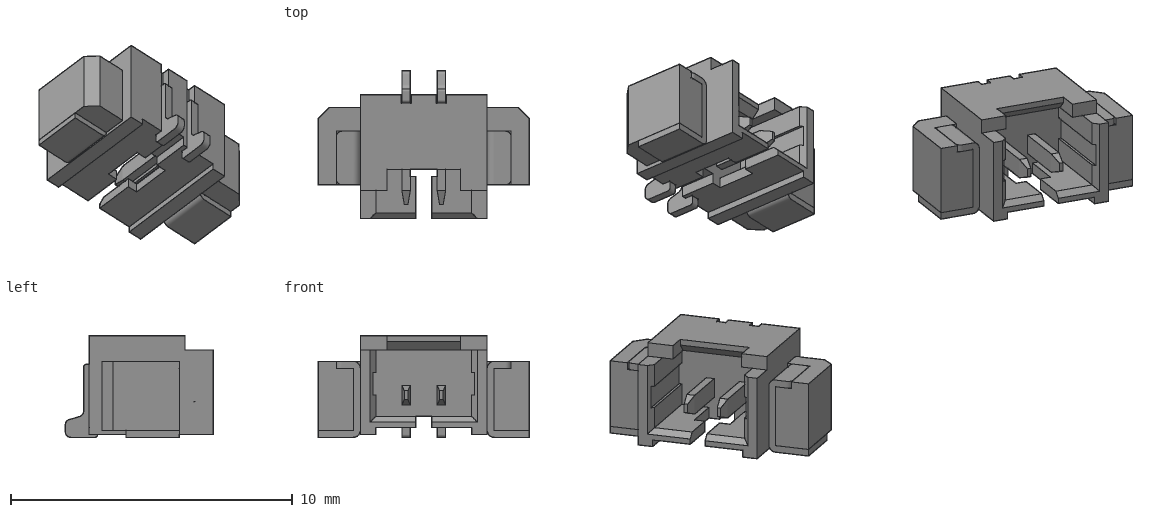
import cadquery as cq
import math


HOUSING_WIDTH = 4.5
HOUSING_DEPTH = 4.4
HOUSING_TOP = 3.61
FOOT_BOTTOM = 0.1
FLOOR_BOTTOM = 0.35
FLOOR_TOP = 0.75
ROOF_BOTTOM = 3.11
ROOF_FRONT = 1.0

CAVITY_WIDTH = 3.4
CAVITY_DEPTH = 3.0
MOUTH_CHAMFER = 0.2
GROOVE_DEPTH = 0.1
GROOVE_BOTTOM = 1.51
GROOVE_TOP = 2.30

ROOF_SLOT_WIDTH = 2.6
ROOF_SLOT_BACK = 1.75
ROOF_SLOT_CHAMFER = 0.29
FLOOR_SLOT_WIDTH = 0.56
FLOOR_WINDOW_WIDTH = 1.35
FLOOR_WINDOW_FRONT = 1.5
TAIL_NOTCH_WIDTH = 0.35
TAIL_NOTCH_DEPTH = 0.3

WING_SPAN = 7.5
WING_FRONT = 1.2
WING_BACK = 3.95
WING_TOP = 2.7
WING_CHAMFER = 0.4
CLIP_THICKNESS = 0.25
CLIP_BACK = 3.1
CLIP_TAB_REACH = 0.85
CLIP_TAB_CORNER = 0.2

PIN_PITCH = 1.25
PIN_WIDTH = 0.3
PIN_BOTTOM = 1.15
PIN_TOP = 1.85
PIN_TIP_Y = 0.5
PIN_TAPER_LENGTH = 0.5
PIN_TIP_WIDTH = 0.13
PIN_TIP_HEIGHT = 0.32
STEM_THICKNESS = 0.5
STEM_TOP = 2.6
STEM_CORNER = 0.1
TAIL_END = 5.25
TAIL_CORNER = 0.2
TAIL_END_HEIGHT = 0.6
TAIL_SLOPE_DEGREES = 16

HALF_WIDTH = HOUSING_WIDTH / 2
PIN_CENTRES = [-PIN_PITCH / 2, PIN_PITCH / 2]
STEM_FRONT = HOUSING_DEPTH - TAIL_NOTCH_DEPTH
STEM_BACK = STEM_FRONT + STEM_THICKNESS


def block(x0, x1, y0, y1, z0, z1):
    """Axis-aligned box between two opposite corners."""
    return cq.Workplane("XY").box(x1 - x0, y1 - y0, z1 - z0, centered=False).translate((x0, y0, z0))


def centred_block(width, y0, y1, z0, z1, x=0):
    """Box of a given width centred on x."""
    return block(x - width / 2, x + width / 2, y0, y1, z0, z1)


def side_profile(x0, x1, points):
    """Prism from x0 to x1 whose outline is given as (y, z) points."""
    return cq.Workplane("YZ").workplane(offset=x0).polyline(points).close().extrude(x1 - x0)


def mouth_flare():
    """Widening of the cavity's side walls and floor towards the mating face."""
    cavity_height = ROOF_BOTTOM - FLOOR_TOP
    return (
        cq.Workplane("XZ", origin=(0, 0, ROOF_BOTTOM))
        .rect(CAVITY_WIDTH + 2 * MOUTH_CHAMFER, 2 * (cavity_height + MOUTH_CHAMFER))
        .workplane(offset=-MOUTH_CHAMFER)
        .rect(CAVITY_WIDTH, 2 * cavity_height)
        .loft(ruled=True)
    )


def make_shell():
    """Housing body without wings or contacts."""
    shell = side_profile(
        -HALF_WIDTH,
        HALF_WIDTH,
        [
            (0, FOOT_BOTTOM),
            (HOUSING_DEPTH, FOOT_BOTTOM),
            (HOUSING_DEPTH, HOUSING_TOP),
            (ROOF_FRONT, HOUSING_TOP),
            (ROOF_FRONT, ROOF_BOTTOM),
            (0, ROOF_BOTTOM),
        ],
    )
    shell = shell.cut(centred_block(CAVITY_WIDTH, 0, HOUSING_DEPTH, 0, FLOOR_BOTTOM))
    shell = shell.cut(centred_block(CAVITY_WIDTH, 0, CAVITY_DEPTH, FLOOR_TOP, ROOF_BOTTOM))
    shell = shell.cut(mouth_flare())
    groove_width = CAVITY_WIDTH + 2 * GROOVE_DEPTH
    shell = shell.cut(centred_block(groove_width, 0, CAVITY_DEPTH, GROOVE_BOTTOM, GROOVE_TOP))
    roof_slot = side_profile(
        -ROOF_SLOT_WIDTH / 2,
        ROOF_SLOT_WIDTH / 2,
        [
            (0, ROOF_BOTTOM),
            (ROOF_SLOT_BACK + ROOF_SLOT_CHAMFER, ROOF_BOTTOM),
            (ROOF_SLOT_BACK, ROOF_BOTTOM + ROOF_SLOT_CHAMFER),
            (ROOF_SLOT_BACK, HOUSING_TOP),
            (0, HOUSING_TOP),
        ],
    )
    shell = shell.cut(roof_slot)
    shell = shell.cut(centred_block(FLOOR_SLOT_WIDTH, 0, HOUSING_DEPTH, 0, FLOOR_TOP))
    shell = shell.cut(centred_block(FLOOR_WINDOW_WIDTH, FLOOR_WINDOW_FRONT, CAVITY_DEPTH, 0, FLOOR_TOP))
    for x in PIN_CENTRES:
        shell = shell.cut(centred_block(TAIL_NOTCH_WIDTH, STEM_FRONT, HOUSING_DEPTH, 0, HOUSING_TOP, x))
    return shell


def make_wing():
    """Block on the +X side of the housing, with its outer back corner bevelled."""
    return (
        block(HALF_WIDTH, WING_SPAN / 2, WING_FRONT, WING_BACK, CLIP_THICKNESS, WING_TOP)
        .edges("|Z and >X and >Y")
        .chamfer(WING_CHAMFER)
    )


def clip_sections():
    """Leg and sharp-cornered top tab of the +X clip: the space it takes in the wing."""
    leg = block(HALF_WIDTH, HALF_WIDTH + CLIP_THICKNESS, WING_FRONT, CLIP_BACK, 0, WING_TOP)
    tab = block(
        HALF_WIDTH,
        HALF_WIDTH + CLIP_TAB_REACH,
        WING_FRONT,
        CLIP_BACK,
        WING_TOP - CLIP_THICKNESS,
        WING_TOP,
    )
    return leg, tab


def make_clip():
    """C-shaped solder clip on the +X side: top tab, leg along the housing and base plate."""
    leg, tab = clip_sections()
    tab = tab.edges("|Z and >X").fillet(CLIP_TAB_CORNER)
    base = block(HALF_WIDTH, WING_SPAN / 2, WING_FRONT, CLIP_BACK, 0, CLIP_THICKNESS)
    return leg.union(tab).union(base).edges("|Y and <X").fillet(CLIP_THICKNESS)


def make_pin(x):
    """Contact: tapered blade through the back wall, upright stem and solder tail."""
    tail_rise = (TAIL_END - STEM_BACK) * math.tan(math.radians(TAIL_SLOPE_DEGREES))
    tail_root_height = TAIL_END_HEIGHT + tail_rise
    stem = side_profile(
        -PIN_WIDTH / 2,
        PIN_WIDTH / 2,
        [
            (STEM_FRONT, 0),
            (TAIL_END, 0),
            (TAIL_END, TAIL_END_HEIGHT),
            (STEM_BACK, tail_root_height),
            (STEM_BACK, STEM_TOP),
            (STEM_FRONT, STEM_TOP),
        ],
    )
    stem = stem.edges("|X and (<Y or >Z)").fillet(STEM_CORNER)
    tail_edges = cq.selectors.BoxSelector(
        (-PIN_WIDTH, STEM_BACK - STEM_CORNER / 2, -STEM_CORNER),
        (PIN_WIDTH, TAIL_END + STEM_CORNER, tail_root_height + STEM_CORNER),
    )
    stem = stem.edges("|X").edges(tail_edges).fillet(TAIL_CORNER)
    taper_start = PIN_TIP_Y + PIN_TAPER_LENGTH
    blade = centred_block(PIN_WIDTH, taper_start, STEM_FRONT, PIN_BOTTOM, PIN_TOP)
    tip = (
        cq.Workplane("XZ", origin=(0, taper_start, (PIN_BOTTOM + PIN_TOP) / 2))
        .rect(PIN_WIDTH, PIN_TOP - PIN_BOTTOM)
        .workplane(offset=PIN_TAPER_LENGTH)
        .rect(PIN_TIP_WIDTH, PIN_TIP_HEIGHT)
        .loft(ruled=True)
    )
    return stem.union(blade).union(tip).translate((x, 0, 0))


def make_housing():
    """Housing with both recessed wings and the contacts moulded in as one solid."""
    leg, tab = clip_sections()
    wing = make_wing().cut(leg).cut(tab)
    housing = make_shell().union(wing).union(wing.mirror("YZ"))
    for x in PIN_CENTRES:
        housing = housing.union(make_pin(x))
    return housing


housing = make_housing()
right_clip = make_clip()
left_clip = right_clip.mirror("YZ")
bodies = [housing, right_clip, left_clip]
result = cq.Compound.makeCompound([body.solids().val() for body in bodies])